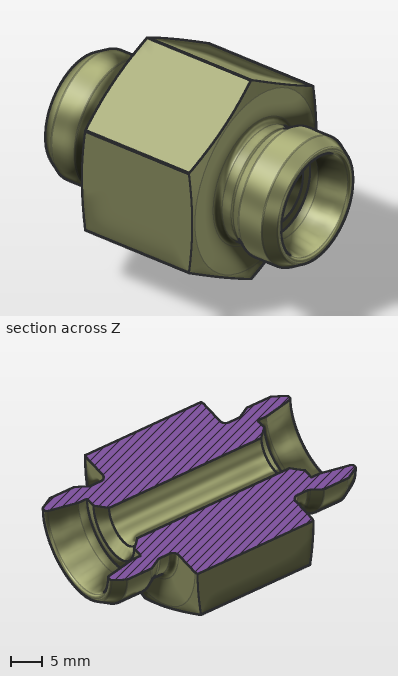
import cadquery as cq
import math

length = 46.0
hex_length = 22.0
hex_across_flats = 32.0
hex_face_diameter = 31.0
hex_corner_diameter = 36.83
hex_chamfer_angle = math.radians(15)

stub_diameter = 22.0
neck_diameter = 19.6
end_edge_round = 0.4
end_chamfer_length = 2.28
end_chamfer_angle = math.radians(30)
stub_land_length = 4.6
land_edge_round = 0.4
shoulder_angle = math.radians(30)
neck_fillet = 1.0

bore_diameter = 8.0
countersink_diameter = 11.5
countersink_angle = math.radians(45)
socket_diameter = 15.2
socket_depth = 7.0
mouth_diameter = 17.5
mouth_cone_angle = math.radians(12)
mouth_edge_round = 0.5

half_length = length / 2
half_hex = hex_length / 2


def revolve_about_x(profile):
    """Revolve a closed XY profile (X = axial, Y = radius) about the X axis."""
    return profile.close().revolve(360, (0, 0, 0), (1, 0, 0))


def make_hex():
    """Hexagon with corners on +Z and -Z, its corners and both ends turned down."""
    sharp_diameter = hex_across_flats / math.cos(math.pi / 6)
    prism = (
        cq.Workplane("YZ")
        .transformed(rotate=(0, 0, 90))
        .polygon(6, sharp_diameter)
        .extrude(half_hex, both=True)
    )
    face_radius = hex_face_diameter / 2
    corner_radius = hex_corner_diameter / 2
    cone_length = (corner_radius - face_radius) * math.tan(hex_chamfer_angle)
    envelope = revolve_about_x(
        cq.Workplane("XY")
        .moveTo(-half_hex, 0)
        .lineTo(-half_hex, face_radius)
        .lineTo(-half_hex + cone_length, corner_radius)
        .lineTo(half_hex - cone_length, corner_radius)
        .lineTo(half_hex, face_radius)
        .lineTo(half_hex, 0)
    )
    return prism.intersect(envelope)


def make_stub():
    """Solid stub on the +X end, with its neck blended into the hexagon face."""
    stub_radius = stub_diameter / 2
    neck_radius = neck_diameter / 2
    land_end = half_length - end_chamfer_length
    end_radius = stub_radius - end_chamfer_length * math.tan(end_chamfer_angle)
    land_start = land_end - stub_land_length

    blend_rise = neck_fillet * (1 - math.cos(shoulder_angle))
    blend_length = neck_fillet * math.sin(shoulder_angle)
    cone_length = (stub_radius - neck_radius - blend_rise) / math.tan(shoulder_angle)
    cone_foot = land_start - cone_length
    neck_end = cone_foot - blend_length
    half_angle = shoulder_angle / 2
    blend_middle = (
        neck_end + neck_fillet * math.sin(half_angle),
        neck_radius + neck_fillet * (1 - math.cos(half_angle)),
    )

    diagonal = neck_fillet * (1 - math.sqrt(0.5))
    stub = revolve_about_x(
        cq.Workplane("XY")
        .moveTo(0, 0)
        .lineTo(0, neck_radius + neck_fillet)
        .lineTo(half_hex, neck_radius + neck_fillet)
        .threePointArc(
            (half_hex + diagonal, neck_radius + diagonal),
            (half_hex + neck_fillet, neck_radius),
        )
        .lineTo(neck_end, neck_radius)
        .threePointArc(blend_middle, (cone_foot, neck_radius + blend_rise))
        .lineTo(land_start, stub_radius)
        .lineTo(land_end, stub_radius)
        .lineTo(half_length, end_radius)
        .lineTo(half_length, 0)
    )
    land_edges = cq.selectors.RadiusNthSelector(-1)
    return stub.edges(land_edges).fillet(land_edge_round)


def make_socket():
    """Cutter for the +X end: sealing cone, socket and countersink."""
    socket_floor = half_length - socket_depth
    sealing_cone_length = (mouth_diameter - socket_diameter) / 2 / math.tan(mouth_cone_angle)
    countersink_length = (countersink_diameter - bore_diameter) / 2 / math.tan(countersink_angle)
    return revolve_about_x(
        cq.Workplane("XY")
        .moveTo(0, 0)
        .lineTo(0, bore_diameter / 2)
        .lineTo(socket_floor - countersink_length, bore_diameter / 2)
        .lineTo(socket_floor, countersink_diameter / 2)
        .lineTo(socket_floor, socket_diameter / 2)
        .lineTo(half_length - sealing_cone_length, socket_diameter / 2)
        .lineTo(half_length, mouth_diameter / 2)
        .lineTo(half_length, 0)
    )


def on_both_ends(end_feature):
    """Join a +X end feature with its mirror image on the -X end."""
    return end_feature.union(end_feature.mirror("YZ"))


def round_end_rims(body):
    """Round the inner and the outer edge of the flat ring at each end."""
    inner_edge = cq.selectors.RadiusNthSelector(0)
    outer_edge = cq.selectors.RadiusNthSelector(-1)
    for end in (">X", "<X"):
        body = body.faces(end).edges(inner_edge).fillet(mouth_edge_round)
        body = body.faces(end).edges(outer_edge).fillet(end_edge_round)
    return body


body = make_hex().union(on_both_ends(make_stub())).cut(on_both_ends(make_socket()))
result = round_end_rims(body)